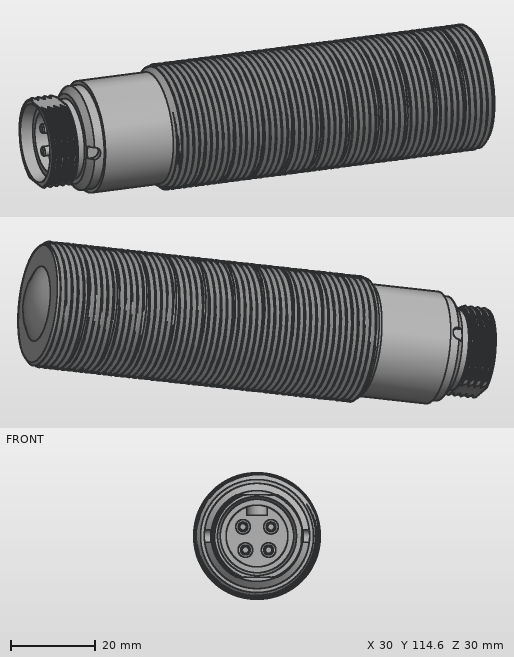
import cadquery as cq
import math

total_length = 114.6

flange_start = 8.7
flange_cone_end = 10.2
barrel_start = 12.6
thread_start = 29.9
thread_end = 111.8
flange_tip_radius = 10.8
flange_radius = 12.5
barrel_radius = 13.4
thread_root_radius = 14.0
thread_crest_radius = 15.0
lens_radius = 8.9
thread_ten_turns = 15.0
thread_pitch = thread_ten_turns / 10
thread_crest_angle = 10.0
thread_pieces = 11
thread_clearance = 0.2
piece_length = (thread_end - thread_start) / thread_pieces
joint_tolerance = 0.01

notch_radius = 1.5
notch_end = 11.7
notch_floor = 11.0

neck_radius = 9.6
collar_length = 6.8
collar_root_radius = 10.1
collar_crest_radius = 10.9
collar_pitch = 1.6
collar_crest_angle = -10.0
flat_height = 9.7
mouth_radius = 9.4
ledge_outer_radius = 8.7
ledge_depth = 2.9
bore_radius = 7.3
bore_depth = 8.0

key_radius = 2.4
key_bottom = 4.9
key_front = 4.6

pin_radius = 1.1
pin_tip = 2.9
pin_chamfer = 0.3
pin_recess_radius = 1.7
pin_recess_depth = 0.3
upper_pin_x = 3.3
upper_pin_z = 2.2
lower_pin_x = 2.7
lower_pin_z = -3.3
pin_places = [
    (side * x, z)
    for x, z in [(upper_pin_x, upper_pin_z), (lower_pin_x, lower_pin_z)]
    for side in (-1, 1)
]

spiral_points = 8


def revolved(points):
    """Solid of revolution about Y from (radius, y) points."""
    return cq.Workplane("XY").polyline(points).close().revolve(360, (0, 0), (0, 1))


def cylinder(radius, y_start, y_end, x=0.0, z=0.0):
    """Cylinder along Y centred on (x, z)."""
    plane = cq.Plane(origin=(x, y_start, z), xDir=(1, 0, 0), normal=(0, 1, 0))
    return cq.Workplane(plane).circle(radius).extrude(y_end - y_start)


def thread_section(root_radius, crest_radius):
    """Cross-section of a V thread: a cam that falls from crest to root and rises again."""
    depth = crest_radius - root_radius

    def falling_side(t):
        radius = crest_radius - depth * t
        return radius * math.cos(math.pi * t), radius * math.sin(math.pi * t)

    def rising_side(t):
        x, y = falling_side(1 - t)
        return x, -y

    return (
        cq.Workplane("XY")
        .parametricCurve(falling_side, N=spiral_points, makeWire=False)
        .parametricCurve(rising_side, N=spiral_points, makeWire=False)
        .wire()
    )


def threaded_piece(root_radius, crest_radius, pitch, start, length, crest_angle):
    """Right-handed threaded rod along +Y from y = start.

    At y = start the crest is at crest_angle, in degrees from +X toward -Z.
    """
    return (
        thread_section(root_radius, crest_radius)
        .twistExtrude(length, 360 * length / pitch)
        .rotate((0, 0, 0), (0, 0, 1), crest_angle)
        .rotate((0, 0, 0), (1, 0, 0), -90)
        .translate((0, start, 0))
    )


def make_lens():
    rise = total_length - thread_end
    sphere_radius = (lens_radius**2 + rise**2) / (2 * rise)
    half_angle = math.asin(lens_radius / sphere_radius) / 2
    centre_y = total_length - sphere_radius
    middle = (sphere_radius * math.sin(half_angle), centre_y + sphere_radius * math.cos(half_angle))
    return (
        cq.Workplane("XY")
        .moveTo(0, thread_end)
        .lineTo(lens_radius, thread_end)
        .threePointArc(middle, (0, total_length))
        .close()
        .revolve(360, (0, 0), (0, 1))
    )


def make_notches():
    slot_centre = notch_end - notch_radius
    slot = (
        cq.Workplane("YZ")
        .circle(notch_radius)
        .extrude(flange_radius)
        .union(
            cq.Workplane("YZ")
            .rect(2 * notch_radius, 2 * notch_radius)
            .extrude(flange_radius)
            .translate((0, -notch_radius, 0))
        )
        .translate((notch_floor, slot_centre, 0))
    )
    return slot.union(slot.mirror("YZ"))


def make_thread_pieces():
    """Long thread in equal lengths that continue each other, with both ends chamfered."""
    piece_turn = 360 * piece_length / thread_pitch
    pieces = [
        threaded_piece(
            thread_root_radius, thread_crest_radius, thread_pitch,
            thread_start + i * piece_length, piece_length, thread_crest_angle + i * piece_turn,
        )
        for i in range(thread_pieces)
    ]
    clear_radius = thread_crest_radius + thread_clearance
    chamfered_outline = revolved([
        (0, thread_start),
        (barrel_radius, thread_start),
        (clear_radius, thread_start + clear_radius - barrel_radius),
        (clear_radius, thread_end - clear_radius + thread_root_radius),
        (thread_root_radius, thread_end),
        (0, thread_end),
    ])
    for end in (0, -1):
        pieces[end] = pieces[end].intersect(chamfered_outline)
    return pieces


def joined_pieces(pieces):
    """One solid sewn from the outer faces of pieces that meet end to end along the thread."""
    joints = [thread_start + i * piece_length for i in range(1, thread_pieces)]

    def is_joint(face):
        centre = face.Center().y
        return face.geomType() == "PLANE" and any(abs(centre - y) < joint_tolerance for y in joints)

    outer_faces = [face for piece in pieces for face in piece.faces().vals() if not is_joint(face)]
    return cq.Workplane(cq.Solid.makeSolid(cq.Shell.makeShell(outer_faces)))


def make_housing():
    flange_and_barrel = revolved([
        (0, flange_start),
        (flange_tip_radius, flange_start),
        (flange_radius, flange_cone_end),
        (flange_radius, barrel_start),
        (barrel_radius, barrel_start),
        (barrel_radius, thread_start),
        (0, thread_start),
    ])
    pieces = make_thread_pieces()
    pieces[0] = pieces[0].union(flange_and_barrel.cut(make_notches()))
    pieces[-1] = pieces[-1].union(make_lens())
    return joined_pieces(pieces)


def make_key():
    """Bar with a rounded front, standing on the bore floor against the bore wall."""
    bar = (
        cq.Workplane("XY", origin=(0, key_front + key_radius, key_bottom))
        .moveTo(-key_radius, 0)
        .threePointArc((0, -key_radius), (key_radius, 0))
        .lineTo(key_radius, flange_start)
        .lineTo(-key_radius, flange_start)
        .close()
        .extrude(bore_radius)
    )
    return bar.intersect(cylinder(neck_radius, ledge_depth, (bore_depth + flange_start) / 2))


def make_connector():
    collar = threaded_piece(
        collar_root_radius, collar_crest_radius, collar_pitch, 0, collar_length, collar_crest_angle
    )
    neck = cylinder(neck_radius, collar_length, flange_start)
    bore = revolved([
        (0, 0),
        (mouth_radius, 0),
        (ledge_outer_radius, ledge_depth),
        (bore_radius, ledge_depth),
        (bore_radius, bore_depth),
        (0, bore_depth),
    ])
    body = collar.union(neck).cut(bore).union(make_key())
    for x, z in pin_places:
        recess = cylinder(pin_recess_radius, bore_depth, bore_depth + pin_recess_depth, x, z)
        pin = cylinder(pin_radius, pin_tip, flange_start, x, z).faces("<Y").chamfer(pin_chamfer)
        body = body.cut(recess).union(pin)
    between_flats = cq.Workplane("XY").box(2 * flange_radius, 4 * flange_start, 2 * flat_height)
    return body.intersect(between_flats)


housing = make_housing()
connector = make_connector()

result = cq.Compound.makeCompound([housing.val(), connector.val()])